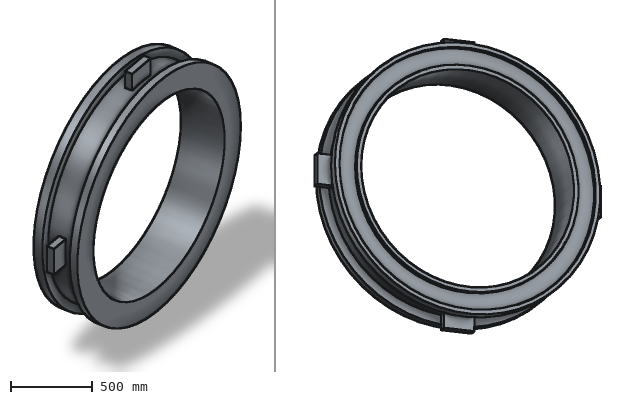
import cadquery as cq

total_width = 330.0
lug_span = 1860.0

flange_radius = 870.0
waist_radius = 810.0
bore_radius = 698.0
front_flange_width = 67.0
back_flange_width = 55.0

recess_rim = 30.0
recess_depth = 30.0

lug_width = 52.0
lug_length = 197.0
lug_count = 4

front_x = -total_width / 2
waist_width = total_width - front_flange_width - back_flange_width
waist_start_x = front_x + front_flange_width
waist_middle_x = waist_start_x + waist_width / 2


def disc(start_x, width, radius):
    """Solid disc about the X axis, extending toward +X."""
    return cq.Workplane("YZ", origin=(start_x, 0, 0)).circle(radius).extrude(width)


def lug(angle):
    """Radial block reaching from the bore radius to the lug tip, turned about X."""
    tip_height = lug_span / 2
    height = tip_height - bore_radius
    middle_z = bore_radius + height / 2
    block = cq.Workplane("XY").box(lug_width, lug_length, height)
    return block.translate((waist_middle_x, 0, middle_z)).rotate((0, 0, 0), (1, 0, 0), angle)


body = disc(front_x, front_flange_width, flange_radius)
body = body.union(disc(waist_start_x, waist_width, waist_radius))
body = body.union(disc(waist_start_x + waist_width, back_flange_width, flange_radius))
for index in range(lug_count):
    body = body.union(lug(index * 360 / lug_count))

body = body.cut(disc(front_x, total_width, bore_radius))

recess_outer = disc(front_x, recess_depth, flange_radius - recess_rim)
recess_inner = disc(front_x, recess_depth, bore_radius + recess_rim)
result = body.cut(recess_outer.cut(recess_inner))